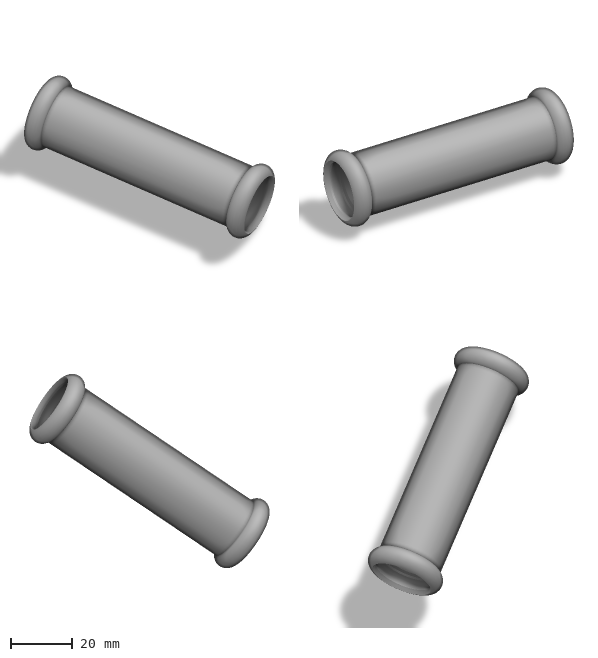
import cadquery as cq
import math

length = 81.0
tube_radius = 21.3 / 2
bore_radius = 17.9 / 2

bead_section_radius = 3.3
bead_outer_radius = 25.7 / 2
bead_center_radius = bead_outer_radius - bead_section_radius

mouth_radius = 20.3 / 2
land_radius = 18.7 / 2
land_start = 1.4
land_width = 0.7
groove_width = 2.75
groove_depth = 0.3
taper_length = 0.8

groove_start = land_start + land_width
groove_end = groove_start + groove_width
taper_start = groove_end + land_width
taper_end = taper_start + taper_length


def bead_half_width(radius):
    """Axial distance from the crown of the bead to its surface at this radius."""
    rise = radius - bead_center_radius
    return math.sqrt(bead_section_radius**2 - rise**2)


def make_end():
    """Solid of revolution for the half of the tube at negative X."""
    front = -length / 2
    crown = front + bead_half_width(mouth_radius)
    bead_back = crown + bead_half_width(tube_radius)
    profile = (
        cq.Workplane("XY")
        .moveTo(0, bore_radius)
        .lineTo(0, tube_radius)
        .lineTo(bead_back, tube_radius)
        .threePointArc(
            (crown, bead_outer_radius),
            (front, mouth_radius),
        )
        .lineTo(front + land_start, land_radius)
        .lineTo(front + groove_start, land_radius)
        .threePointArc(
            (front + groove_start + groove_width / 2, land_radius + groove_depth),
            (front + groove_end, land_radius),
        )
        .lineTo(front + taper_start, land_radius)
        .lineTo(front + taper_end, bore_radius)
        .close()
    )
    return profile.revolve(360, (0, 0, 0), (1, 0, 0))


left_half = make_end()
right_half = left_half.mirror("YZ")
result = left_half.union(right_half, clean=True)